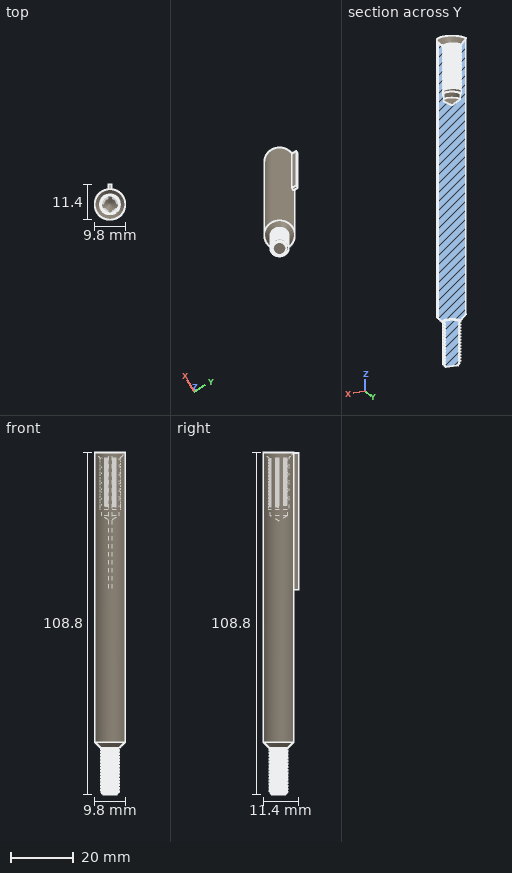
import cadquery as cq
import math

ROD_DIAMETER = 9.8
ROD_LENGTH = 92.1
TOTAL_LENGTH = 108.81
ROD_RADIUS = ROD_DIAMETER / 2

THREAD_PITCH = 1.0
CREST_FLAT = THREAD_PITCH / 8
FLANK_ANGLE = math.radians(60)
ROOT_OVERLAP = 0.05

TRIM_ALLOWANCE = 2.0
SEAM_ANGLE = 100

STUD_DIAMETER = 6.0
STUD_THREAD_DEPTH = 0.6
STUD_RADIUS = STUD_DIAMETER / 2
STUD_CORE_RADIUS = STUD_RADIUS - STUD_THREAD_DEPTH
NECK_HEIGHT = ROD_RADIUS - STUD_RADIUS
STUD_LENGTH = TOTAL_LENGTH - ROD_LENGTH - NECK_HEIGHT
TIP_CHAMFER = 0.9
STUD_THREAD_RUN = 1.4 * THREAD_PITCH

BORE_DIAMETER = 5.6
SOCKET_THREAD_DEPTH = 0.4
BORE_RADIUS = BORE_DIAMETER / 2
SOCKET_ROOT_RADIUS = BORE_RADIUS + SOCKET_THREAD_DEPTH
SOCKET_DEPTH = 17.1
SOCKET_THREAD_LENGTH = 15.6
BORE_DEPTH = 20.0
DRILL_POINT_ANGLE = math.radians(118)

KEY_WIDTH = 1.0
KEY_HEIGHT = 1.57
KEY_LENGTH = 43.5
KEY_SETBACK = 0.2

TOP = ROD_LENGTH
NECK_BOTTOM = -NECK_HEIGHT
STUD_BOTTOM = NECK_BOTTOM - STUD_LENGTH
SOCKET_THREAD_BOTTOM = TOP - SOCKET_DEPTH
KEY_BOTTOM = TOP - KEY_SETBACK - KEY_LENGTH


def revolved(outline):
    """Solid of revolution about Z from (radius, height) points."""
    return cq.Workplane("XZ").polyline(outline).close().revolve(360, (0, 0, 0), (0, 1, 0))


def thread_ridge(root_radius, crest_radius, start, length):
    """Helical ridge of trapezoid section, its root sunk slightly into the wall that carries it."""
    outward = math.copysign(1, crest_radius - root_radius)
    base = root_radius - outward * ROOT_OVERLAP
    half_crest = CREST_FLAT / 2
    half_base = half_crest + abs(crest_radius - base) * math.tan(FLANK_ANGLE / 2)
    helix = cq.Wire.makeHelix(THREAD_PITCH, length, root_radius, lefthand=True)
    section = [
        (base, -half_base),
        (crest_radius, -half_crest),
        (crest_radius, half_crest),
        (base, half_base),
    ]
    ridge = cq.Workplane("XZ").polyline(section).close().sweep(cq.Workplane(obj=helix), isFrenet=True)
    return ridge.translate((0, 0, start))


def make_blank():
    """Plain turned rod with its neck, stud core and bore, left overlong at both threaded ends."""
    bore_bottom = TOP - BORE_DEPTH
    point_depth = BORE_RADIUS / math.tan(DRILL_POINT_ANGLE / 2)
    thread_relief = SOCKET_THREAD_BOTTOM - THREAD_PITCH
    blank = revolved([
        (0, STUD_BOTTOM - TRIM_ALLOWANCE),
        (STUD_CORE_RADIUS, STUD_BOTTOM - TRIM_ALLOWANCE),
        (STUD_CORE_RADIUS, NECK_BOTTOM),
        (STUD_RADIUS, NECK_BOTTOM),
        (ROD_RADIUS, 0),
        (ROD_RADIUS, TOP + TRIM_ALLOWANCE),
        (SOCKET_ROOT_RADIUS, TOP + TRIM_ALLOWANCE),
        (SOCKET_ROOT_RADIUS, thread_relief),
        (BORE_RADIUS, thread_relief),
        (BORE_RADIUS, bore_bottom),
        (0, bore_bottom - point_depth),
    ])
    return blank.rotate((0, 0, 0), (0, 0, 1), SEAM_ANGLE)


def make_trim_envelope():
    """Space kept when the ends are finished: chamfered tip below, 45 degree countersink above."""
    tip_radius = STUD_RADIUS - TIP_CHAMFER
    outer_radius = 2 * ROD_RADIUS
    return revolved([
        (0, STUD_BOTTOM),
        (tip_radius, STUD_BOTTOM),
        (outer_radius, STUD_BOTTOM + outer_radius - tip_radius),
        (outer_radius, TOP + outer_radius - ROD_RADIUS),
        (0, TOP - ROD_RADIUS),
    ])


def make_rod():
    """Rod with its neck, threaded stud and threaded socket."""
    stud_thread = thread_ridge(
        STUD_CORE_RADIUS, STUD_RADIUS, STUD_BOTTOM - THREAD_PITCH, STUD_LENGTH + STUD_THREAD_RUN
    )
    socket_thread = thread_ridge(
        SOCKET_ROOT_RADIUS, BORE_RADIUS, SOCKET_THREAD_BOTTOM, SOCKET_THREAD_LENGTH
    )
    threaded_blank = make_blank().union(stud_thread).union(socket_thread)
    return threaded_blank.intersect(make_trim_envelope())


def make_key():
    """Narrow straight bar seated on the rod's curved back."""
    bar = (
        cq.Workplane("XY")
        .box(KEY_WIDTH, ROD_RADIUS + KEY_HEIGHT, KEY_LENGTH, centered=(True, False, False))
        .translate((0, 0, KEY_BOTTOM))
    )
    rod_space = cq.Workplane("XY").circle(ROD_RADIUS).extrude(TOP)
    return bar.cut(rod_space)


rod = make_rod()
key = make_key()

result = cq.Compound.makeCompound([rod.val(), key.val()])